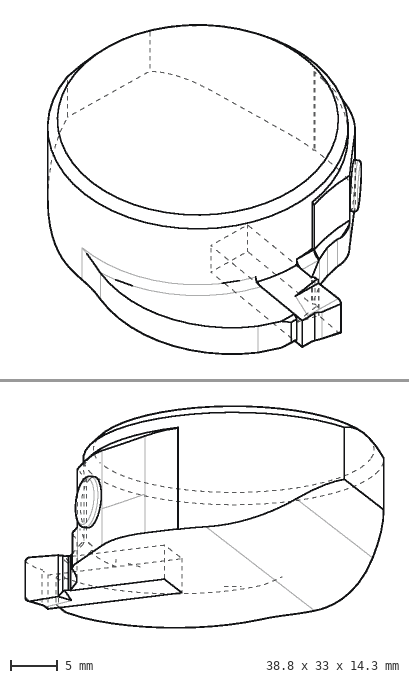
import cadquery as cq
import math


disc_radius = 16.02
disc_height = 13.77
rim_chamfer = 1.05
flat_x = -(disc_radius - rim_chamfer)

relief_radius = 12.03
relief_top = 6.9

plate_thickness = 3.85
root_fillet = 0.8
lobe_radius = 14.75
lobe_x = 7.2
lobe_y = -(disc_radius + lobe_radius) + math.sqrt((2 * lobe_radius) ** 2 - lobe_x**2)
lobe_mid_degrees = -65
lobe_end = (20.8, -8.9)
plate_end_x = 22.25
plate_end_y = -5.45
end_chamfer = 0.43

flank_y = 16.15
flank_round = 8.35
flank_round_x = 3.8
flank_slope_end = (14.28, 9.2)
flank_rim = 11.4
jaw_round = (15.35, 7.85)
jaw_shoulder = (15.75, 6.3)
jaw_waist = (16.2, 4.5)
jaw_corner = (16.88, 2.85)
jaw_tip = (18.45, 0.6)

screw_diameter = 5.5
screw_height = 0.75
screw_round = 0.3
screw_root = 1.95
screw_z = flank_rim / 2

insert_back_x = 7.75
insert_low_y = -4.65
insert_high_y = 0.43
insert_end_x = 23.12
edge_x = 23.82
edge_y = 0.15
edge_overhang = 0.55
edge_corner = 0.5
chip_bump_y = 0.7
chip_bump_left = 18.7
chip_bump_right = 19.32
chip_bump_run = 0.25
rake_start_x = 20.02
primary_relief = (23.45, -2.2)
secondary_relief_y = -2.9
flank_foot_x = 19.1
flank_top_x = 20.1
edge_taper = 0.135
back_relief_slope = 0.14
side_relief_slope = 0.12


def polar(center, radius, degrees):
    """Point at the given angle on a circle."""
    angle = math.radians(degrees)
    return (center[0] + radius * math.cos(angle), center[1] + radius * math.sin(angle))


def disc():
    body = cq.Workplane("XY").circle(disc_radius).extrude(disc_height).rotate((0, 0, 0), (0, 0, 1), 180)
    return body.faces(">Z").chamfer(rim_chamfer)


def plate_outline():
    """Outline of flange, jaw and flank, closed through the inside of the disc."""
    relief_center = (0, -(disc_radius + lobe_radius))
    lobe_center = (lobe_x, lobe_y)
    join_degrees = math.degrees(math.atan2(lobe_y - relief_center[1], lobe_x))
    join = polar(relief_center, lobe_radius, join_degrees)
    flank_center = (flank_round_x, flank_y - flank_round)
    return (
        cq.Workplane("XY")
        .moveTo(0, -disc_radius)
        .threePointArc(polar(relief_center, lobe_radius, (90 + join_degrees) / 2), join)
        .threePointArc(polar(lobe_center, lobe_radius, lobe_mid_degrees), lobe_end)
        .lineTo(plate_end_x, plate_end_y)
        .lineTo(plate_end_x, insert_low_y)
        .lineTo(jaw_tip[0], insert_low_y)
        .lineTo(*jaw_tip)
        .lineTo(*jaw_corner)
        .lineTo(*jaw_waist)
        .lineTo(*jaw_shoulder)
        .threePointArc(jaw_round, flank_slope_end)
        .lineTo(*polar(flank_center, flank_round, 45))
        .threePointArc(polar(flank_center, flank_round, 67.5), (flank_round_x, flank_y))
        .lineTo(0, flank_y)
        .close()
    )


def root_fillet_envelope():
    """Plate thickness plus the concave fillet that leads up to the disc wall."""
    fillet_top = plate_thickness + root_fillet
    fillet_edge = disc_radius + root_fillet
    middle = polar((fillet_edge, fillet_top), root_fillet, 225)
    return (
        cq.Workplane("XZ")
        .lineTo(2 * disc_radius, 0)
        .lineTo(2 * disc_radius, plate_thickness)
        .lineTo(fillet_edge, plate_thickness)
        .threePointArc(middle, (disc_radius, fillet_top))
        .lineTo(0, fillet_top)
        .close()
        .revolve(360, (0, 0, 0), (0, 1, 0))
    )


def plate():
    body = plate_outline().extrude(disc_height).intersect(root_fillet_envelope())
    body = body.union(jaw_slope()).union(jaw_root_fillet())
    return body.cut(insert_seat(disc_height))


def plate_end_chamfers():
    length = insert_low_y - lobe_end[1]
    cutters = cq.Workplane("XY")
    for face_z, inward in ((0, 1), (plate_thickness, -1)):
        triangle = [
            (plate_end_x, face_z),
            (plate_end_x - end_chamfer, face_z),
            (plate_end_x, face_z + inward * end_chamfer),
        ]
        wedge = cq.Workplane("XZ", origin=(0, insert_low_y, 0)).polyline(triangle).close().extrude(length)
        cutters = cutters.add(wedge)
    return cutters.combine()


def rim_cone(rim_height):
    """45 degree cone around the disc axis that meets the disc wall at rim_height."""
    return (
        cq.Workplane("XZ")
        .lineTo(disc_radius + rim_height, 0)
        .lineTo(disc_radius, rim_height)
        .lineTo(0, rim_height)
        .close()
        .revolve(360, (0, 0, 0), (0, 1, 0))
    )


def jaw_slope():
    """Sloping top of the jaw between the flank and the jaw corner."""
    rim_height = plate_thickness + math.hypot(*jaw_corner) - disc_radius
    sector = cq.Workplane("XY").box(jaw_corner[0], flank_y, rim_height, centered=False)
    sector = sector.translate((0, jaw_corner[1], 0))
    return plate_outline().extrude(disc_height).intersect(rim_cone(rim_height)).intersect(sector)


def jaw_root_fillet():
    """Straight concave fillet between the jaw corner and the insert."""
    radius = jaw_corner[0] - disc_radius
    center = (jaw_corner[0], plate_thickness + radius)
    return (
        cq.Workplane("XZ", origin=(0, jaw_corner[1], 0))
        .moveTo(center[0], plate_thickness)
        .threePointArc(polar(center, radius, 225), (disc_radius, center[1]))
        .lineTo(0, center[1])
        .lineTo(0, plate_thickness)
        .close()
        .extrude(jaw_corner[1] - insert_high_y)
    )


def flank():
    """High part of the outline, topped by a 45 degree cone around the disc."""
    sector = (
        cq.Workplane("XY")
        .lineTo(disc_radius, jaw_corner[1])
        .lineTo(*flank_slope_end)
        .lineTo(flank_slope_end[0], flank_y)
        .lineTo(0, flank_y)
        .close()
        .extrude(disc_height)
    )
    return plate_outline().extrude(disc_height).intersect(rim_cone(flank_rim)).intersect(sector)


def screw_head():
    face_distance = (flank_round_x + flank_y - flank_round) / math.sqrt(2) + flank_round
    start = polar((0, 0), face_distance - screw_root, 45)
    axis_plane = cq.Plane(origin=(*start, screw_z), xDir=(0, 0, 1), normal=(1, 1, 0))
    head = cq.Workplane(axis_plane).circle(screw_diameter / 2).extrude(screw_root + screw_height)
    return head.faces(cq.selectors.DirectionMinMaxSelector(cq.Vector(1, 1, 0))).edges().fillet(screw_round)


def underside_relief():
    """Material removed below the flat, across the full width of the disc."""
    round_height = relief_radius * (1 - math.cos(math.radians(45)))
    ramp_foot_x = flat_x + relief_top - round_height
    center = (ramp_foot_x + relief_radius * math.sin(math.radians(45)), relief_radius)
    return (
        cq.Workplane("XZ")
        .moveTo(flat_x, relief_top)
        .lineTo(ramp_foot_x, round_height)
        .threePointArc(polar(center, relief_radius, 247.5), (center[0], 0))
        .lineTo(flat_x, 0)
        .close()
        .extrude(2 * disc_radius, both=True)
    )


def flat_cutter():
    width = 2 * disc_radius
    block = cq.Workplane("XY").box(width, width, disc_height, centered=(True, True, False))
    return block.translate((flat_x - width / 2, 0, 0))


def insert_seat(height):
    """Straight slot for the insert, open towards the underside and +X."""
    length = edge_x - insert_back_x
    width = insert_high_y - insert_low_y
    slot = cq.Workplane("XY").box(length, width, height, centered=False)
    return slot.translate((insert_back_x, insert_low_y, 0))


def make_holder():
    body = plate().union(disc()).union(flank()).union(screw_head())
    body = body.cut(underside_relief()).cut(flat_cutter())
    return body.cut(plate_end_chamfers()).cut(insert_seat(plate_thickness))


def insert_profile():
    return cq.Workplane("XY").polyline(
        [
            (insert_back_x, insert_low_y),
            (insert_end_x, insert_low_y),
            (insert_end_x, secondary_relief_y),
            primary_relief,
            (edge_x, edge_y),
            (rake_start_x, edge_y),
            (chip_bump_right, chip_bump_y),
            (chip_bump_left, chip_bump_y),
            (chip_bump_left - chip_bump_run, insert_high_y),
            (insert_back_x, insert_high_y),
        ]
    ).close()


def cutting_head():
    """Upper half of the widened head, sinking into the bar away from the edge."""
    bump_offset = chip_bump_y - edge_y
    right_x = edge_x + bump_offset * side_relief_slope
    edge_top = plate_thickness + edge_overhang + bump_offset * back_relief_slope
    corner_center = (right_x - edge_corner, edge_top - edge_corner)
    section = (
        cq.Workplane("XZ", origin=(0, chip_bump_y, 0))
        .moveTo(flank_foot_x, plate_thickness / 2)
        .lineTo(flank_foot_x, plate_thickness)
        .lineTo(flank_top_x, edge_top - edge_taper)
        .lineTo(corner_center[0], edge_top)
        .threePointArc(polar(corner_center, edge_corner, 45), (right_x, corner_center[1]))
        .lineTo(right_x, plate_thickness / 2)
        .close()
    )
    depth = chip_bump_y - insert_low_y
    sweep = cq.Vector(-depth * side_relief_slope, -depth, -depth * back_relief_slope)
    return cq.Workplane(cq.Solid.extrudeLinear(section.val(), [], sweep))


def make_insert():
    bar = insert_profile().extrude(plate_thickness)
    upper = cutting_head()
    lower = upper.mirror("XY", (0, 0, plate_thickness / 2))
    limits = insert_profile().extrude(disc_height, both=True)
    return bar.union(upper.union(lower).intersect(limits))


holder = make_holder()
insert = make_insert()
result = cq.Compound.makeCompound([holder.val(), insert.val()])